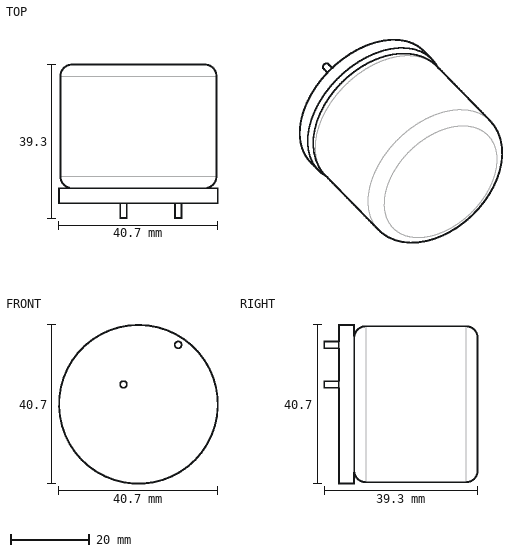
import cadquery as cq

base_diameter = 40.7
base_thickness = 3.9

can_diameter = 40.0
can_length = 31.65
can_edge_radius = 3.0

pin_diameter = 1.75
pin_length = 3.75
pin_positions = [(10.18, 15.22), (-3.83, 5.1)]


def cylinder_along_y(diameter, start_y, length, x=0.0, z=0.0):
    """Cylinder that starts at start_y and extends toward +Y."""
    axis_start = cq.Vector(x, start_y, z)
    solid = cq.Solid.makeCylinder(diameter / 2, length, axis_start, cq.Vector(0, 1, 0))
    return cq.Workplane(obj=solid)


def make_housing():
    """Disc-shaped base with a can, rounded at both ends, standing on it."""
    base = cylinder_along_y(base_diameter, 0.0, base_thickness)
    can = cylinder_along_y(can_diameter, base_thickness, can_length)
    can = can.edges("%CIRCLE").fillet(can_edge_radius)
    return base.union(can)


def make_pin(x, z):
    """Terminal pin that touches the mounting face and points toward -Y."""
    return cylinder_along_y(pin_diameter, -pin_length, pin_length, x, z)


housing = make_housing()
pins = [make_pin(x, z).val() for x, z in pin_positions]

result = cq.Compound.makeCompound([housing.val(), *pins])